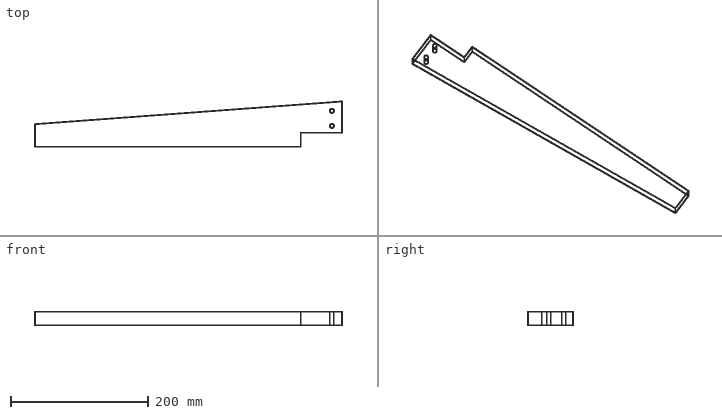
import cadquery as cq

length = 447.0
full_width = 66.0
thickness = 20.0

narrow_width = full_width / 2
notch_length = 60.0
notch_depth = thickness

hole_diameter = 6.0
hole_end_distance = 14.8
hole_edge_distance = 10.5
hole_spacing = 22.0


def tapered_plate():
    shoulder_x = length - notch_length
    outline = [
        (0, 0),
        (shoulder_x, 0),
        (shoulder_x, notch_depth),
        (length, notch_depth),
        (length, full_width),
        (0, narrow_width),
    ]
    return cq.Workplane("XY").polyline(outline).close().extrude(thickness)


def hole_cutters():
    hole_x = length - hole_end_distance
    first_hole_y = notch_depth + hole_edge_distance
    centers = [(hole_x, first_hole_y + i * hole_spacing) for i in range(2)]
    return cq.Workplane("XY").pushPoints(centers).circle(hole_diameter / 2).extrude(thickness)


result = tapered_plate().cut(hole_cutters())